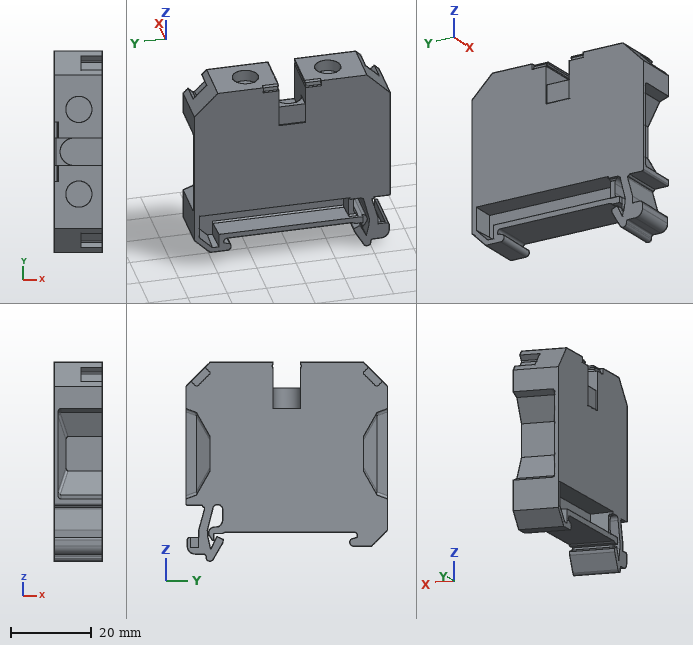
import cadquery as cq
import math


thickness = 11.9
length = 50.0
height = 49.35
half_length = length / 2
top_chamfer = 6.0

body_bottom = 13.85
body_corner_radius = 0.4
foot_bottom = 3.7
foot_chamfer = 4.0
rail_seat = 7.2
rail_seat_step = 6.85
shelf_end_y = -18.05
shelf_top = 8.5
tip_bottom = 5.15
tip_overlap = 0.5
opening_y = -15.9

neck_outer_y = -21.85
neck_outer_z = 7.7
neck_root_y = -20.4
neck_root_z = 12.95
neck_fillet = 0.5
heel_y = -20.0
pad_bottom = 1.75
pad_top = 5.95
pad_outer_y = -24.7
pad_edge_radius = 0.7
pad_round = 2.1
pad_fillet = 0.6
pad_groove_start = 0.8
pad_groove_depth = 2.5
pad_groove_end_y = -23.8

funnel_wall = 0.95
funnel_back_wall = 2.95
funnel_lip_depth = 2.6
funnel_depth = 6.0
funnel_middle_z = 26.65
funnel_mouth_half = 11.2
funnel_lip_half = 10.25
funnel_back_half = 4.25
funnel_corner_radius = 0.75

screw_diameter = 6.5
screw_depth = 3.0
screw_x = 6.1
screw_y = 10.5

slot_width = 6.75
slot_floor = 37.85
slot_step_z = 43.0
slot_step_wall = 0.4
well_start = 1.45

seat_half_length = 7.4
seat_floor = 47.9
seat_lip = 48.85
seat_floor_depth = 0.65
seat_lip_depth = 0.75
seat_top_depth = 1.1
groove_depth = 0.25
groove_middle = 48.45

tag_start = 6.6
tag_half_width = 2.45
tag_depth = 2.0
tag_corner = 0.3

window_depth = 5.9
window_draft = 0.25
window_left = 23.7
window_right = -14.7
window_top = 14.5
window_shelf = 8.6
window_foot_right = 18.7
window_foot_bottom = 5.0
window_slant_top = 8.3
window_slant_y = 20.35
relief_depth = 1.2
relief_top = 14.0
bevel = 0.4
relief_end_y = -17.0


def block():
    """Body, fixed rail hook, shelf and sprung latch as one extruded outline."""
    shoulder_z = height - top_chamfer
    outline = (
        cq.Workplane("YZ")
        .moveTo(-half_length + top_chamfer, height)
        .lineTo(half_length - top_chamfer, height)
        .lineTo(half_length, shoulder_z)
        .lineTo(half_length, foot_bottom + foot_chamfer)
        .lineTo(half_length - foot_chamfer, foot_bottom)
        .lineTo(16.6, foot_bottom)
        .threePointArc((15.6, 4.6), (16.0, 5.55))
        .lineTo(17.45, 5.95)
        .lineTo(17.45, 6.45)
        .threePointArc((17.2, 7.0), (16.6, rail_seat))
        .lineTo(-15.3, rail_seat)
        .lineTo(-16.0, rail_seat_step)
        .lineTo(shelf_end_y, rail_seat_step)
        .lineTo(shelf_end_y, shelf_top)
        .lineTo(-16.9, window_shelf)
        .threePointArc((-16.2, 9.3), (opening_y, 10.3))
        .lineTo(opening_y, 12.8)
        .threePointArc((-16.15, 13.55), (-16.9, relief_top))
        .lineTo(-17.45, relief_top)
        .threePointArc((-18.0, 13.7), (-18.3, 13.0))
        .lineTo(-19.65, 7.7)
        .lineTo(-19.55, 6.15)
        .lineTo(-18.85, 3.0)
        .lineTo(-17.3, 6.15)
        .lineTo(-15.65, 5.4)
        .lineTo(-15.85, 4.55)
        .lineTo(-18.2, 0.5)
        .threePointArc((-19.1, 0.0), (heel_y, 0.75))
        .lineTo(heel_y, pad_bottom - pad_fillet)
        .radiusArc((heel_y - pad_fillet, pad_bottom), -pad_fillet)
        .lineTo(pad_outer_y + pad_round, pad_bottom)
        .radiusArc((pad_outer_y, pad_bottom + pad_round), pad_round)
        .lineTo(pad_outer_y, pad_top - pad_edge_radius)
        .radiusArc((pad_outer_y + pad_edge_radius, pad_top), pad_edge_radius)
        .lineTo(neck_outer_y, pad_top)
        .lineTo(neck_outer_y, neck_outer_z)
        .lineTo(neck_root_y, neck_root_z)
        .lineTo(neck_root_y, body_bottom - neck_fillet)
        .radiusArc((neck_root_y - neck_fillet, body_bottom), neck_fillet)
        .lineTo(-half_length + body_corner_radius, body_bottom)
        .radiusArc((-half_length, body_bottom + body_corner_radius), body_corner_radius)
        .lineTo(-half_length, shoulder_z)
        .close()
    )
    return outline.extrude(thickness)


def hook_tip():
    """Rounded nose at the shelf end that the latch spring snaps against."""
    return (
        cq.Workplane("YZ", origin=(relief_depth, 0, 0))
        .moveTo(shelf_end_y + tip_overlap, shelf_top)
        .lineTo(shelf_end_y, shelf_top)
        .threePointArc((-19.05, 7.95), (-19.35, 6.65))
        .lineTo(-18.4, tip_bottom)
        .lineTo(shelf_end_y, tip_bottom)
        .lineTo(shelf_end_y, rail_seat_step)
        .lineTo(shelf_end_y + tip_overlap, rail_seat_step)
        .close()
        .extrude(thickness - relief_depth)
    )


def funnel():
    """Wire entry in the -Y end, tapering inwards and open towards +X."""
    lip_y = -half_length + funnel_lip_depth
    back_y = -half_length + funnel_depth
    side_profile = [
        (-half_length, funnel_middle_z - funnel_mouth_half),
        (lip_y, funnel_middle_z - funnel_lip_half),
        (back_y, funnel_middle_z - funnel_back_half),
        (back_y, funnel_middle_z + funnel_back_half),
        (lip_y, funnel_middle_z + funnel_lip_half),
        (-half_length, funnel_middle_z + funnel_mouth_half),
    ]
    plan_profile = [
        (funnel_wall, -half_length),
        (funnel_wall, lip_y),
        (funnel_back_wall, back_y),
        (thickness, back_y),
        (thickness, -half_length),
    ]
    side = cq.Workplane("YZ").polyline(side_profile).close().extrude(thickness)
    plan = cq.Workplane("XY").polyline(plan_profile).close().extrude(height)
    return side.intersect(plan)


def rounded_funnel():
    """Funnel with its four corner edges along the closed side rounded."""
    lip_y = -half_length + funnel_lip_depth
    middle_y = -half_length + (funnel_lip_depth + funnel_depth) / 2
    slope_x = (funnel_wall + funnel_back_wall) / 2
    slope_half = (funnel_lip_half + funnel_back_half) / 2
    mouth_y = (lip_y - half_length) / 2
    mouth_half = (funnel_mouth_half + funnel_lip_half) / 2
    corners = []
    for side in (-1, 1):
        corners.append((slope_x, middle_y, funnel_middle_z + side * slope_half))
        corners.append((funnel_wall, mouth_y, funnel_middle_z + side * mouth_half))
    body = funnel()
    edges = cq.Workplane("XY")
    for corner in corners:
        edges = edges.add(body.edges(cq.NearestToPointSelector(corner)))
    return body.newObject(edges.vals()).fillet(funnel_corner_radius)


def tag_pocket():
    """Marker pocket cut square into the -Y shoulder, open towards +X."""
    shoulder = cq.Plane(
        origin=(tag_start, -half_length + top_chamfer / 2, height - top_chamfer / 2),
        xDir=(0, 1, 1),
        normal=(1, 0, 0),
    )
    profile = [
        (-tag_half_width, 0),
        (-tag_half_width, -tag_depth + tag_corner),
        (-tag_half_width + tag_corner, -tag_depth),
        (tag_half_width - tag_corner, -tag_depth),
        (tag_half_width, -tag_depth + tag_corner),
        (tag_half_width, 0),
    ]
    return cq.Workplane(shoulder).polyline(profile).close().extrude(thickness - tag_start)


def screw_hole(y):
    """Blind screwdriver access hole in the top face."""
    return (
        cq.Workplane("XY", origin=(screw_x, y, height - screw_depth))
        .circle(screw_diameter / 2)
        .extrude(screw_depth)
    )


def slot():
    """Central slot: an upper cut right through, a low cut at the side and the well."""
    radius = slot_width / 2
    well_center = well_start + radius

    def slot_box(floor, x_size):
        return cq.Workplane("XY").box(
            x_size, slot_width, height - floor, centered=(False, True, False)
        ).translate((0, 0, floor))

    well = (
        cq.Workplane("XY", origin=(0, 0, slot_floor))
        .moveTo(thickness, -radius)
        .lineTo(well_center, -radius)
        .threePointArc((well_start, 0), (well_center, radius))
        .lineTo(thickness, radius)
        .close()
        .extrude(slot_step_z - slot_floor)
    )
    upper = slot_box(slot_step_z, thickness)
    side = slot_box(slot_floor, slot_step_wall)
    return upper.union(side).union(well)


def label_seat():
    """Notch in the closed side at the slot, and a V groove along both slot walls."""
    notch = (
        cq.Workplane("XZ", origin=(0, seat_half_length, 0))
        .polyline([
            (0, seat_floor),
            (seat_floor_depth, seat_floor),
            (seat_lip_depth, seat_lip),
            (seat_top_depth, height),
            (0, height),
        ])
        .close()
        .extrude(2 * seat_half_length)
    )
    wall = slot_width / 2
    groove = (
        cq.Workplane("YZ")
        .polyline([
            (-wall, seat_floor),
            (wall, seat_floor),
            (wall + groove_depth, groove_middle),
            (wall, seat_lip),
            (-wall, seat_lip),
            (-wall - groove_depth, groove_middle),
        ])
        .close()
        .extrude(thickness)
    )
    return notch.union(groove)


def window():
    """Drafted recess in the closed side, reaching down into the fixed hook."""

    def outline(draft):
        slant = draft * math.tan(math.radians(22.5))
        return [
            (window_left - draft, window_top - draft),
            (window_right + draft, window_top - draft),
            (window_right + draft, window_shelf),
            (window_foot_right + draft, window_shelf),
            (window_foot_right + draft, window_foot_bottom + draft),
            (window_slant_y - slant, window_foot_bottom + draft),
            (window_left - draft, window_slant_top + slant),
        ]

    return (
        cq.Workplane("YZ")
        .polyline(outline(0))
        .close()
        .workplane(offset=window_depth)
        .polyline(outline(window_draft))
        .close()
        .loft(ruled=True)
    )


def floor_bevel():
    """45 degree bevel where the shelf meets the window floor."""
    return (
        cq.Workplane("XZ", origin=(0, window_foot_right + window_draft, 0))
        .moveTo(window_depth, window_shelf)
        .lineTo(window_depth - bevel, window_shelf)
        .lineTo(window_depth, window_shelf + bevel)
        .close()
        .extrude(window_foot_right - window_right)
    )


def pillar_relief():
    """Bevelled step in the pillar between the window and the latch opening."""
    start_y = window_right + window_draft
    return (
        cq.Workplane("XZ", origin=(0, start_y, 0))
        .polyline([
            (0, window_shelf),
            (relief_depth - bevel, window_shelf),
            (relief_depth, window_shelf + bevel),
            (relief_depth, relief_top - bevel),
            (relief_depth - bevel, relief_top),
            (0, relief_top),
        ])
        .close()
        .extrude(start_y - relief_end_y)
    )


def pad_groove():
    """Screwdriver groove between the latch neck and the pad rim, open towards +X."""
    return (
        cq.Workplane("XY", origin=(pad_groove_start, neck_outer_y, pad_top))
        .rect(thickness - pad_groove_start, pad_groove_end_y - neck_outer_y, centered=False)
        .extrude(-pad_groove_depth)
    )


result = block().union(hook_tip())
for end_feature in (rounded_funnel(), tag_pocket()):
    result = result.cut(end_feature).cut(end_feature.mirror("XZ"))
for hole_y in (-screw_y, screw_y):
    result = result.cut(screw_hole(hole_y))
result = result.cut(slot()).cut(label_seat()).cut(window()).union(floor_bevel())
result = result.cut(pillar_relief()).cut(pad_groove())